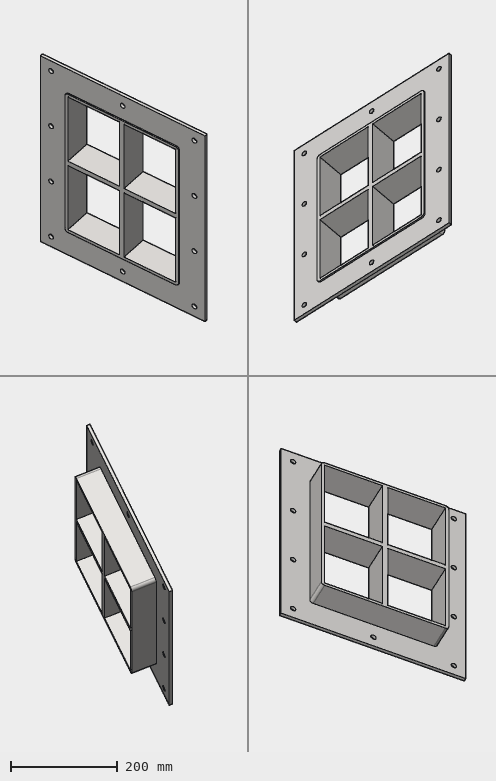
import cadquery as cq

plate_width = 383.0
plate_height = 463.0
plate_thickness = 7.0

duct_width = 264.0
duct_height = 344.5
duct_depth = 60.0
duct_corner_radius = 7.0
duct_wall = 7.0
front_lip = 3.0

divider_thickness = 11.0

hole_diameter = 10.5
hole_edge_distance = 25.0
holes_per_side = 4

window_width = (duct_width - 2 * duct_wall - divider_thickness) / 2
window_height = (duct_height - 2 * duct_wall - divider_thickness) / 2
window_pitch_x = window_width + divider_thickness
window_pitch_z = window_height + divider_thickness


def block(width, depth, height, front_y):
    """Box centred on X and Z that extends toward +Y from front_y."""
    return cq.Workplane("XY").box(width, depth, height).translate((0, front_y + depth / 2, 0))


def bolt_positions():
    """Evenly spaced holes up both sides, plus one at mid-width on the top and bottom rows."""
    edge_x = plate_width / 2 - hole_edge_distance
    edge_z = plate_height / 2 - hole_edge_distance
    pitch_z = 2 * edge_z / (holes_per_side - 1)
    points = [(0, edge_z), (0, -edge_z)]
    for row in range(holes_per_side):
        z = -edge_z + row * pitch_z
        points += [(-edge_x, z), (edge_x, z)]
    return points


def bolt_holes():
    return (
        cq.Workplane("XZ")
        .pushPoints(bolt_positions())
        .circle(hole_diameter / 2)
        .extrude(-plate_thickness)
    )


def windows():
    return (
        cq.Workplane("XZ", origin=(0, -front_lip, 0))
        .rarray(window_pitch_x, window_pitch_z, 2, 2)
        .rect(window_width, window_height)
        .extrude(-duct_depth)
    )


plate = block(plate_width, plate_thickness, plate_height, 0).cut(bolt_holes())
duct = block(duct_width, duct_depth, duct_height, -front_lip).edges("|Y").fillet(duct_corner_radius)
result = plate.union(duct).cut(windows())